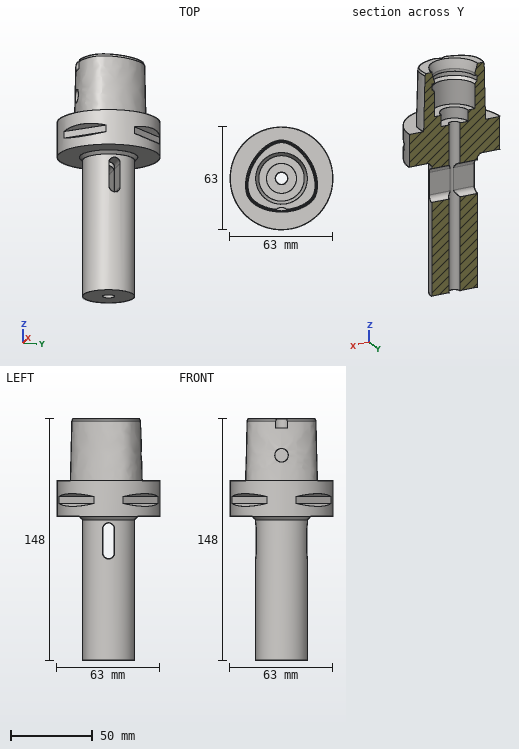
import cadquery as cq
import math

total_height = 148.0
flange_bottom = 88.0
flange_top = 110.0
collar_bottom = 86.0

shank_radius = 16.0
collar_radius = 17.9
flange_radius = 31.5

base_mean_radius = 22.0
lobe_offset = 1.4
taper_per_side = 1 / 40
tip_chamfer = 1.5
tip_chamfer_inset = 0.6
outline_points = 72

mouth_radius = 15.8
bore_radius = 13.9
mouth_depth = 6.2
groove_radius = 15.5
groove_start = 8.0
groove_end = 11.4
groove_exit = 13.3
bore_depth = 29.6
counterbore_radius = 9.2
counterbore_depth = 37.0
through_radius = 3.7

gripper_height = 98.1
gripper_floor_distance = 27.7
gripper_floor_width = 4.1
gripper_flare = 0.48
gripper_count = 4

notch_radius = 4.5
notch_depth = 5.9
notch_floor_y = -17.8
side_hole_radius = 4.1
side_hole_height = 125.5
side_hole_floor_y = -15.1
slot_width = 7.0
slot_bottom = 62.2
slot_top = 84.0


def lobed_outline(height, inset=0.0):
    """Closed three-lobed curve with one lobe pointing along +Y."""
    mean_radius = base_mean_radius - taper_per_side * (height - flange_top) - inset

    def point(turn):
        angle = 2 * math.pi * turn
        along = (mean_radius * math.cos(angle) - 2 * lobe_offset * math.cos(2 * angle)
                 + lobe_offset * math.cos(4 * angle))
        across = (mean_radius * math.sin(angle) + 2 * lobe_offset * math.sin(2 * angle)
                  + lobe_offset * math.sin(4 * angle))
        return across, -along

    points = [point(i / outline_points) for i in range(outline_points)]
    return cq.Workplane("XY").workplane(offset=height).spline(points, periodic=True).close().val()


def lobed_section(lower, upper):
    return cq.Workplane(cq.Solid.makeLoft([lower, upper], True))


def revolved(profile):
    return cq.Workplane("XZ").polyline(profile).close().revolve(360, (0, 0, 0), (0, 1, 0))


def body():
    turned = revolved([
        (0, 0),
        (shank_radius, 0),
        (shank_radius, collar_bottom),
        (collar_radius, flange_bottom),
        (flange_radius, flange_bottom),
        (flange_radius, flange_top),
        (0, flange_top),
    ])
    shoulder = total_height - tip_chamfer
    cone = lobed_section(lobed_outline(flange_top), lobed_outline(shoulder))
    tip = lobed_section(lobed_outline(shoulder), lobed_outline(total_height, tip_chamfer_inset))
    return turned.union(cone).union(tip)


def bore():
    steps = [
        (mouth_radius, 0),
        (bore_radius, mouth_depth),
        (bore_radius, groove_start),
        (groove_radius, groove_start),
        (groove_radius, groove_end),
        (bore_radius, groove_exit),
        (bore_radius, bore_depth),
        (counterbore_radius, bore_depth),
        (counterbore_radius, counterbore_depth),
        (through_radius, counterbore_depth),
        (through_radius, total_height),
    ]
    wall = [(radius, total_height - depth) for radius, depth in steps]
    return revolved([(0, total_height)] + wall + [(0, 0)])


def gripper_groove(angle):
    """Straight flared groove whose flat floor faces outward at the given angle."""
    half_floor = gripper_floor_width / 2
    depth = flange_radius - gripper_floor_distance
    half_mouth = half_floor + gripper_flare * depth
    groove = (
        cq.Workplane("XZ")
        .polyline([
            (gripper_floor_distance, gripper_height - half_floor),
            (flange_radius, gripper_height - half_mouth),
            (flange_radius, gripper_height + half_mouth),
            (gripper_floor_distance, gripper_height + half_floor),
        ])
        .close()
        .extrude(flange_radius, both=True)
    )
    return groove.rotate((0, 0, 0), (0, 0, 1), angle)


def orientation_notch():
    return (
        cq.Workplane("XY", origin=(0, notch_floor_y - notch_radius, total_height - notch_depth))
        .circle(notch_radius)
        .extrude(notch_depth)
    )


def side_hole():
    return (
        cq.Workplane("XZ", origin=(0, side_hole_floor_y, side_hole_height))
        .circle(side_hole_radius)
        .extrude(flange_radius + side_hole_floor_y)
    )


def drift_slot():
    return (
        cq.Workplane("YZ", origin=(0, 0, (slot_bottom + slot_top) / 2))
        .slot2D(slot_top - slot_bottom, slot_width, 90)
        .extrude(flange_radius, both=True)
    )


result = body().cut(bore())
for index in range(gripper_count):
    result = result.cut(gripper_groove((index + 0.5) * 360 / gripper_count))
result = result.cut(orientation_notch()).cut(side_hole()).cut(drift_slot())